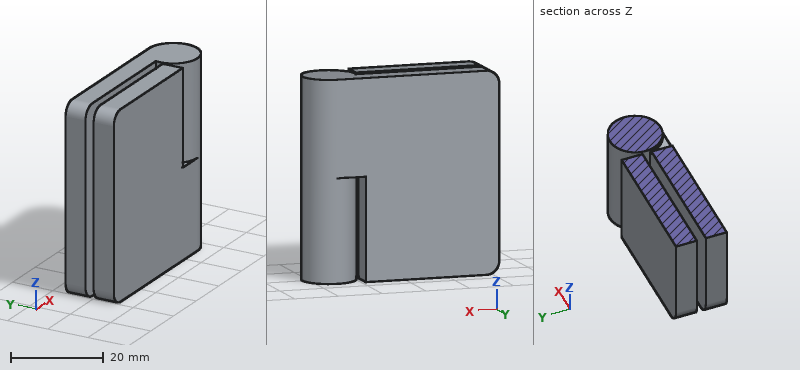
import cadquery as cq

height = 45.0
width = 43.0
barrel_diameter = 12.0
leaf_gap = 2.02
corner_radius = 3.0
barrel_clearance = 0.5
notch_overlap = 0.75

barrel_radius = barrel_diameter / 2
leaf_thickness = (barrel_diameter - leaf_gap) / 2
leaf_length = width - barrel_radius
notch_depth = barrel_radius + barrel_clearance
notch_height = height / 2 + notch_overlap
front_notch_bottom = height - notch_height


def make_leaf(y_start, notch_bottom):
    """Leaf reaching the barrel axis, notched beside the other leaf's knuckle."""
    plate = (
        cq.Workplane("XY")
        .box(leaf_length, leaf_thickness, height, centered=False)
        .edges("|Y and <X")
        .fillet(corner_radius)
        .translate((-leaf_length, y_start, 0))
    )
    notch = (
        cq.Workplane("XY")
        .box(notch_depth, leaf_thickness, notch_height, centered=False)
        .translate((-notch_depth, y_start, notch_bottom))
    )
    return plate.cut(notch)


front_leaf = make_leaf(-barrel_radius, front_notch_bottom)
rear_leaf = make_leaf(leaf_gap / 2, 0)
barrel = cq.Workplane("XY").circle(barrel_radius).extrude(height)

result = barrel.union(front_leaf).union(rear_leaf)